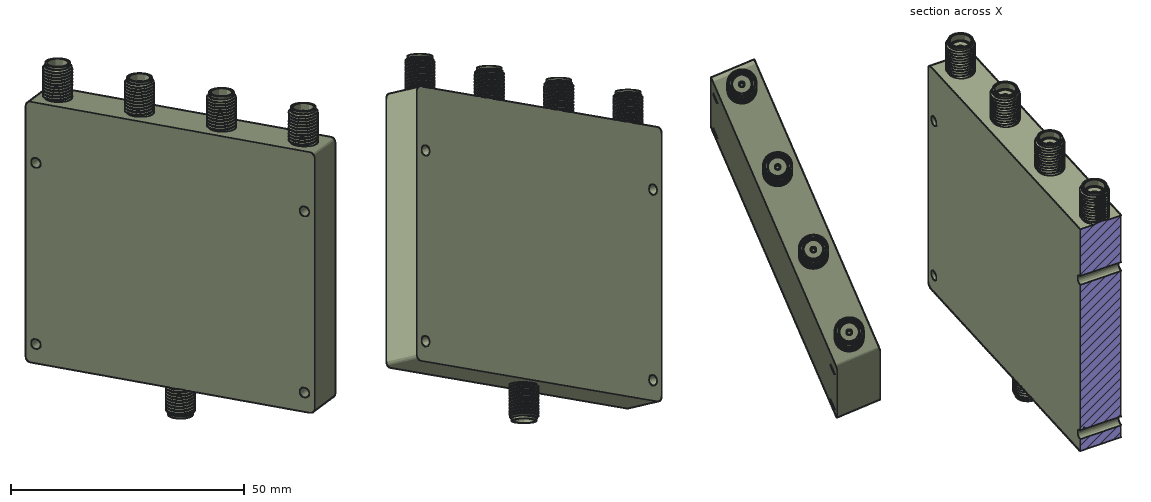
import cadquery as cq

body_width = 69.0
body_depth = 10.1
total_height = 75.75
connector_length = 7.9
body_height = total_height - 2 * connector_length
corner_radius = 1.2

hole_diameter = 2.3
hole_half_spacing = 32.05
lower_hole_height = 4.5
upper_hole_height = 46.1

output_count = 4
output_spacing = 19.55
thread_diameter = 6.4
core_diameter = 5.4
thread_pitch = 0.705
crest_width = 0.09
root_width = 0.7
thread_overlap = 0.1
extra_turns = 2
crest_clearance = 0.2
plain_tip_length = 0.5

socket_diameter = 4.55
socket_depth = 1.7
insulator_diameter = 4.1
insulator_depth = 1.8
contact_diameter = 1.3
contact_depth = 2.05
contact_bore_diameter = 0.9
contact_bore_depth = 3.0


def make_housing():
    """Flat box with four rounded corners, standing on Z = 0 and centred in X and Y."""
    box = cq.Workplane("XY").box(body_width, body_depth, body_height, centered=(True, True, False))
    box = box.edges("|Y").fillet(corner_radius)
    hole_places = [
        (side * hole_half_spacing, height)
        for side in (-1, 1)
        for height in (lower_hole_height, upper_hole_height)
    ]
    holes = (
        cq.Workplane("XZ")
        .pushPoints(hole_places)
        .circle(hole_diameter / 2)
        .extrude(body_depth, both=True)
    )
    return box.cut(holes)


def make_thread():
    """Right-hand helical ridge with a trapezoid profile that runs past both ends of the connector."""
    start = -extra_turns * thread_pitch
    length = connector_length + 2 * extra_turns * thread_pitch
    inner_radius = core_diameter / 2 - thread_overlap
    crest_radius = thread_diameter / 2
    helix = cq.Wire.makeHelix(thread_pitch, length, inner_radius).moved(cq.Location((0, 0, start)))
    return (
        cq.Workplane("XZ")
        .moveTo(inner_radius, start - root_width / 2)
        .lineTo(crest_radius, start - crest_width / 2)
        .lineTo(crest_radius, start + crest_width / 2)
        .lineTo(inner_radius, start + root_width / 2)
        .close()
        .sweep(cq.Workplane(helix), isFrenet=True)
    )


def make_connector():
    """Threaded connector that stands on Z = 0 with its socket open at the top."""
    envelope_radius = thread_diameter / 2 + crest_clearance
    envelope = cq.Workplane("XY").circle(envelope_radius).extrude(connector_length - plain_tip_length)
    envelope = envelope.faces(">Z").chamfer(envelope_radius - core_diameter / 2)
    thread = make_thread().intersect(envelope)
    core = cq.Workplane("XY").circle(core_diameter / 2).extrude(connector_length)
    body = core.union(thread)

    top = cq.Workplane("XY").workplane(offset=connector_length)
    socket_steps = (
        (socket_diameter, socket_depth),
        (insulator_diameter, insulator_depth),
        (contact_diameter, contact_depth),
        (contact_bore_diameter, contact_bore_depth),
    )
    for diameter, depth in socket_steps:
        body = body.cut(top.circle(diameter / 2).extrude(-depth))
    return body


connector = make_connector()
result = make_housing()

for index in range(output_count):
    x = (index - (output_count - 1) / 2) * output_spacing
    result = result.union(connector.translate((x, 0, body_height)))

result = result.union(connector.rotate((0, 0, 0), (1, 0, 0), 180))